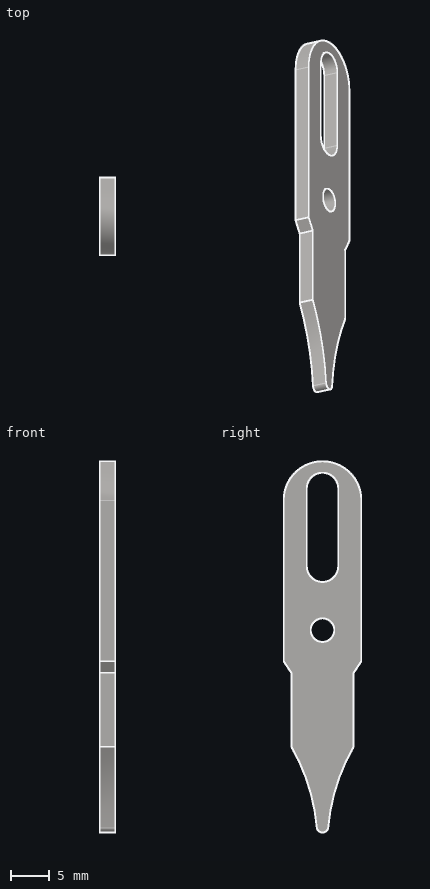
import cadquery as cq

thickness = 2.0
length = 47.7

body_half_width = 5.0
shank_half_width = 4.0
tip_half_width = 0.75
shoulder_top_z = 22.0
shoulder_height = 1.5
shank_bottom_z = 11.0
tip_height = 0.65
taper_radius = 25.0

slot_width = 4.0
slot_length = 14.0
slot_top_wall = 1.5
hole_diameter = 3.0
hole_z = 26.0

round_top_z = length - body_half_width
shoulder_bottom_z = shoulder_top_z - shoulder_height
slot_center_z = length - slot_top_wall - slot_length / 2


def side_plane():
    """Sketch plane on the -X face of the blade."""
    return cq.Workplane("YZ", origin=(-thickness / 2, 0, 0))


def make_blank():
    """Extrude the blade outline through the full thickness."""
    return (
        side_plane()
        .moveTo(-tip_half_width, tip_height)
        .threePointArc((0, 0), (tip_half_width, tip_height))
        .radiusArc((shank_half_width, shank_bottom_z), taper_radius)
        .lineTo(shank_half_width, shoulder_bottom_z)
        .lineTo(body_half_width, shoulder_top_z)
        .lineTo(body_half_width, round_top_z)
        .threePointArc((0, length), (-body_half_width, round_top_z))
        .lineTo(-body_half_width, shoulder_top_z)
        .lineTo(-shank_half_width, shoulder_bottom_z)
        .lineTo(-shank_half_width, shank_bottom_z)
        .radiusArc((-tip_half_width, tip_height), taper_radius)
        .close()
        .extrude(thickness)
    )


def make_slot():
    """Round-ended slot running along the blade."""
    return (
        side_plane()
        .center(0, slot_center_z)
        .slot2D(slot_length, slot_width, angle=90)
        .extrude(thickness)
    )


def make_hole():
    """Round through hole below the slot."""
    return (
        side_plane()
        .center(0, hole_z)
        .circle(hole_diameter / 2)
        .extrude(thickness)
    )


result = make_blank().cut(make_slot()).cut(make_hole())